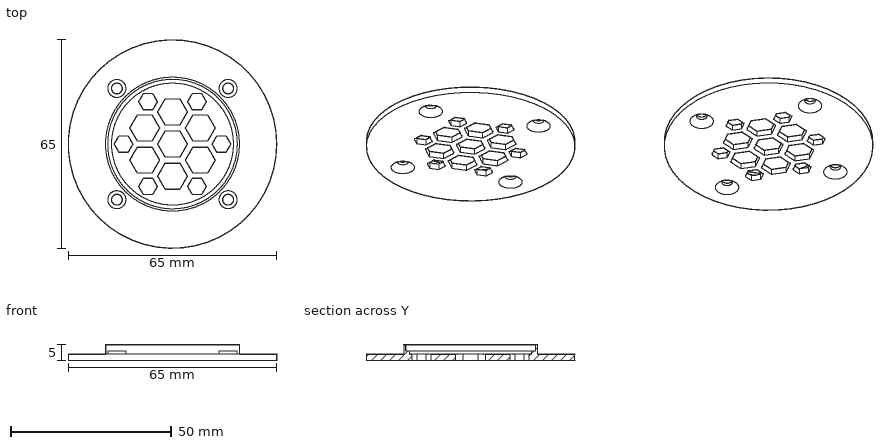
import cadquery as cq
import math

flange_diameter = 65.0
flange_thickness = 2.0

collar_diameter = 41.75
collar_height = 3.0
upper_recess_diameter = 40.4
lower_recess_diameter = 38.0
collar_top = flange_thickness + collar_height
grille_thickness = 2.0
lower_recess_depth = 1.0
ledge_z = grille_thickness + lower_recess_depth

boss_diameter = 5.6
boss_height = 1.0
screw_hole_diameter = 3.3
countersink_half_angle = 45.0
countersink_step = flange_thickness * math.tan(math.radians(countersink_half_angle))
countersink_diameter = screw_hole_diameter + 2 * countersink_step
screw_circle_radius = 24.5
screw_count = 4
first_screw_angle = 45.0

large_hex_flats = 8.0
hex_web = 2.0
hex_pitch = large_hex_flats + hex_web
small_hex_flats = 5.0
small_hex_radius = 15.25
hex_ring_count = 6
hex_sides = 6
first_large_hex_angle = 30.0
first_small_hex_angle = 0.0


def polar_points(radius, count, first_angle):
    """Points evenly spaced around the part axis; angles in degrees."""
    angles = [math.radians(first_angle + 360.0 * i / count) for i in range(count)]
    return [(radius * math.cos(a), radius * math.sin(a)) for a in angles]


def cylinders(points, diameter, bottom, top):
    """Vertical cylinders of equal size at the given points."""
    return (
        cq.Workplane("XY", origin=(0, 0, bottom))
        .pushPoints(points)
        .circle(diameter / 2)
        .extrude(top - bottom)
    )


def hexagons(points, flats):
    """Hexagonal cutters through the grille, each with two corners along X."""
    corner_diameter = flats / math.cos(math.pi / hex_sides)
    return (
        cq.Workplane("XY")
        .pushPoints(points)
        .polygon(hex_sides, corner_diameter)
        .extrude(grille_thickness)
    )


def countersinks(points):
    """Cones that widen from the screw hole at the flange top to the underside."""
    return (
        cq.Workplane("XY")
        .pushPoints(points)
        .circle(countersink_diameter / 2)
        .extrude(flange_thickness, taper=countersink_half_angle)
    )


axis = [(0, 0)]
screw_points = polar_points(screw_circle_radius, screw_count, first_screw_angle)
large_hex_points = axis + polar_points(hex_pitch, hex_ring_count, first_large_hex_angle)
small_hex_points = polar_points(small_hex_radius, hex_ring_count, first_small_hex_angle)
boss_top = flange_thickness + boss_height

body = cylinders(axis, flange_diameter, 0, flange_thickness)
body = body.union(cylinders(axis, collar_diameter, 0, collar_top))
body = body.union(cylinders(screw_points, boss_diameter, 0, boss_top))

body = body.cut(cylinders(axis, upper_recess_diameter, ledge_z, collar_top))
body = body.cut(cylinders(axis, lower_recess_diameter, grille_thickness, ledge_z))

body = body.cut(cylinders(screw_points, screw_hole_diameter, 0, boss_top))
body = body.cut(countersinks(screw_points))
body = body.cut(hexagons(large_hex_points, large_hex_flats))
result = body.cut(hexagons(small_hex_points, small_hex_flats))